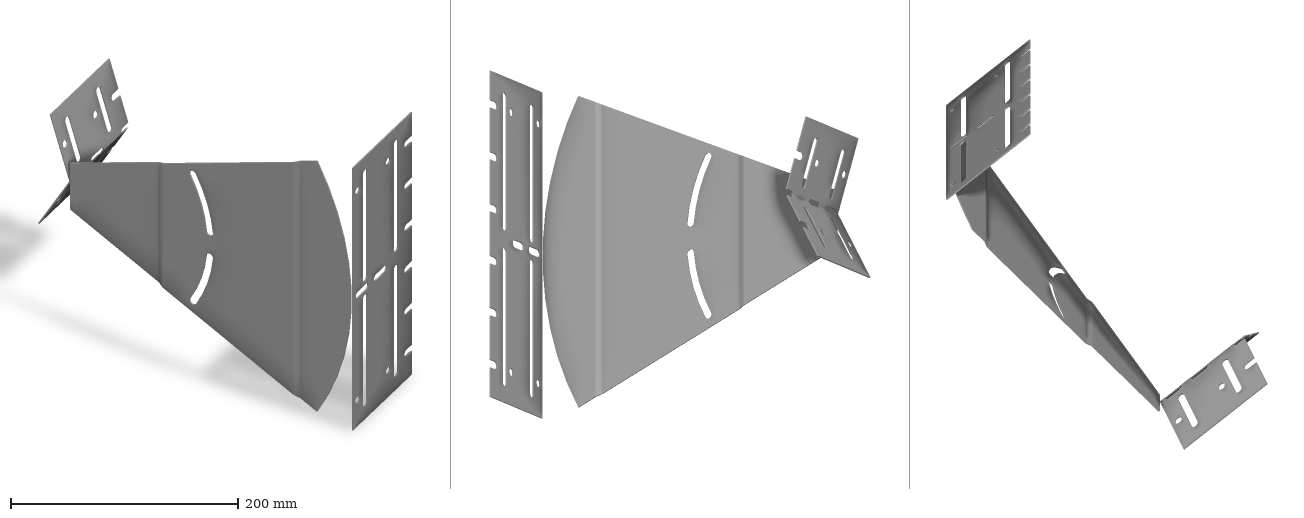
import cadquery as cq
import math

sheet = 1.25
plate_width = 95.0
slot_width = 7.0

notch_depth = 12.2
long_slot_depths = (25.8, 75.8)
hole_depths = (38.5, 87.7)
cross_slot_depths = (51.0, 80.5)
cross_slot_length = 20.2

end_plate_height = 295.0
end_plate_x = 297.0
notch_pitch = 47.0
notch_rows = 6
end_slot_inner = 7.5
end_slot_outer = 132.7

hinge_z = 3.3
leaf_length = 69.8
upper_leaf_angle = 17.3
lower_leaf_angle = 28.2
leaf_slot_inner = 9.5
leaf_slot_outer = 55.5
leaf_hole_reach = 35.0

sector_z = -0.5
sector_radius = end_plate_x - sheet
sector_inner_half = 25.8
sector_outer_half = 141.0
step_depth = 2.05
step_run = 5.3
step_starts = (93.5, 237.0)
arc_slot_radius = 149.0
arc_slot_start = 5.3
arc_slot_end = 28.7

cut_margin = 3.3
sector_cut_depth = step_depth + sheet + 2 * cut_margin


def flat_plate(z_low, z_high):
    return cq.Workplane("XY").box(sheet, plate_width, z_high - z_low, centered=False).translate(
        (-sheet, 0, z_low)
    )


def cut_plane():
    return cq.Workplane("YZ", origin=(-sheet - cut_margin, 0, 0))


def cutter(sketch):
    return sketch.extrude(sheet + 2 * cut_margin)


def edge_notches(heights):
    length = notch_depth + 2 * cut_margin
    centre_y = plate_width - notch_depth + length / 2
    return cutter(cut_plane().pushPoints([(centre_y, z) for z in heights]).slot2D(length, slot_width))


def holes(heights):
    points = [(plate_width - depth, z) for depth in hole_depths for z in heights]
    return cutter(cut_plane().pushPoints(points).circle(slot_width / 2))


def long_slots(z_low, z_high):
    middle = (z_low + z_high) / 2
    points = [(plate_width - depth, middle) for depth in long_slot_depths]
    return cutter(cut_plane().pushPoints(points).slot2D(z_high - z_low, slot_width, 90))


def cross_slots():
    points = [(plate_width - depth, 0) for depth in cross_slot_depths]
    return cutter(cut_plane().pushPoints(points).slot2D(cross_slot_length, slot_width))


def make_end_plate():
    half = end_plate_height / 2
    rows = [(row - (notch_rows - 1) / 2) * notch_pitch for row in range(notch_rows)]
    plate = flat_plate(-half, half)
    plate = plate.cut(edge_notches(rows)).cut(holes([rows[0], rows[-1]])).cut(cross_slots())
    for low, high in ((-end_slot_outer, -end_slot_inner), (end_slot_inner, end_slot_outer)):
        plate = plate.cut(long_slots(low, high))
    return plate.translate((end_plate_x, 0, 0))


def make_leaf(tilt):
    """A leaf rising from the bend, tilted towards -X about the lower edge of its +X face."""
    leaf = flat_plate(0, leaf_length)
    leaf = leaf.cut(edge_notches([0, leaf_hole_reach])).cut(holes([leaf_hole_reach]))
    leaf = leaf.cut(long_slots(leaf_slot_inner, leaf_slot_outer)).cut(cross_slots())
    return leaf.rotate((0, 0, 0), (0, 1, 0), -tilt)


def make_corner_bracket():
    upper_leaf = make_leaf(upper_leaf_angle)
    lower_leaf = make_leaf(lower_leaf_angle).mirror("XY")
    return upper_leaf.union(lower_leaf).translate((0, 0, hinge_z))


def stepped_sheet():
    """The sheet with its middle panel offset, seen along Z, taller than the sector."""
    first, second = step_starts
    back = [
        (0, 0),
        (first, 0),
        (first + step_run, -step_depth),
        (second, -step_depth),
        (second + step_run, 0),
        (sector_radius + cut_margin, 0),
    ]
    front = [(x, y - sheet) for x, y in reversed(back)]
    return cq.Workplane("XY").polyline(back + front).close().extrude(sector_radius, both=True)


def sector_outline():
    corner_x = math.sqrt(sector_radius**2 - sector_outer_half**2)
    return (
        cq.Workplane("XZ", origin=(0, cut_margin, 0))
        .moveTo(0, -sector_inner_half)
        .lineTo(corner_x, -sector_outer_half)
        .threePointArc((sector_radius, 0), (corner_x, sector_outer_half))
        .lineTo(0, sector_inner_half)
        .close()
        .extrude(sector_cut_depth)
    )


def polar(radius, degrees):
    angle = math.radians(degrees)
    return radius * math.cos(angle), radius * math.sin(angle)


def arc_slot():
    """A slot curved about the pivot, above the line of symmetry."""
    inner = arc_slot_radius - slot_width / 2
    outer = arc_slot_radius + slot_width / 2
    middle = (arc_slot_start + arc_slot_end) / 2
    cap_angle = math.degrees(slot_width / 2 / arc_slot_radius)
    return (
        cq.Workplane("XZ", origin=(0, cut_margin, 0))
        .moveTo(*polar(inner, arc_slot_start))
        .threePointArc(polar(arc_slot_radius, arc_slot_start - cap_angle), polar(outer, arc_slot_start))
        .threePointArc(polar(outer, middle), polar(outer, arc_slot_end))
        .threePointArc(polar(arc_slot_radius, arc_slot_end + cap_angle), polar(inner, arc_slot_end))
        .threePointArc(polar(inner, middle), polar(inner, arc_slot_start))
        .close()
        .extrude(sector_cut_depth)
    )


def make_sector_plate():
    upper_slot = arc_slot()
    lower_slot = upper_slot.mirror("XY")
    sector = stepped_sheet().intersect(sector_outline()).cut(upper_slot).cut(lower_slot)
    return sector.translate((0, 0, sector_z))


end_plate = make_end_plate()
corner_bracket = make_corner_bracket()
sector_plate = make_sector_plate()

result = cq.Compound.makeCompound([end_plate.val(), corner_bracket.val(), sector_plate.val()])